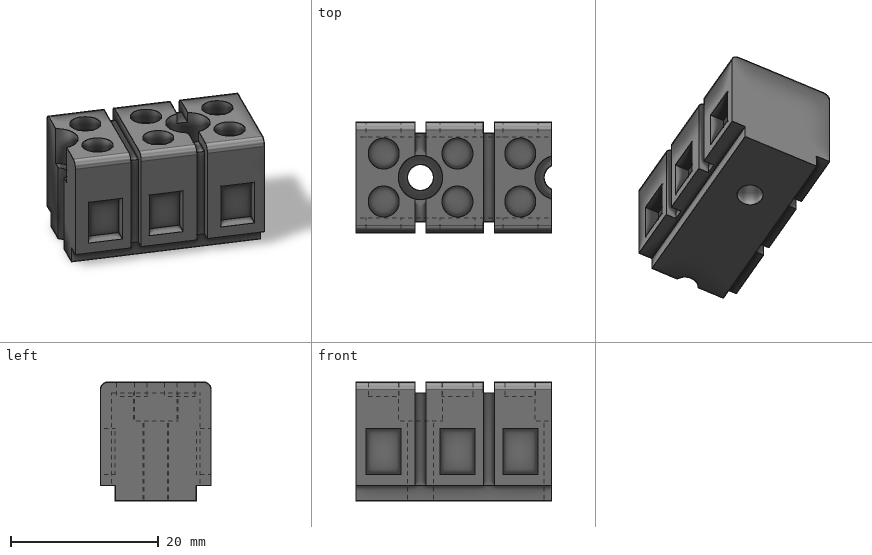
import cadquery as cq

length = 26.5
width = 15.0
height = 16.1
edge_radius = 1.03

foot_width = 11.0
foot_height = 2.1

groove_spans = [(8.0, 9.5), (17.28, 18.74)]
groove_depth = 1.48

well_centers_x = [3.75, 13.75, 22.25]
well_spacing = 6.5
well_diameter = 4.2
well_depth = 2.0

opening_starts_x = [1.38, 11.4, 19.9]
opening_width = 4.75
opening_bottom = 3.6
opening_height = 6.2
opening_depth = 2.0

mount_centers_x = [8.75, 27.25]
mount_diameter = 3.5
counterbore_diameter = 6.0
counterbore_depth = 5.3


def box(x, y, z, size_x, size_y, size_z):
    """Box with its minimum corner at (x, y, z)."""
    return cq.Workplane("XY").box(size_x, size_y, size_z, centered=False).translate((x, y, z))


def make_body():
    upper = box(0, -width / 2, foot_height, length, width, height - foot_height)
    upper = upper.edges("|X and >Z").fillet(edge_radius)
    foot = box(0, -foot_width / 2, 0, length, foot_width, foot_height)
    return upper.union(foot)


def cut_groove(body, start, end):
    """Groove across the top and down both long sides, as far as the foot."""
    core_width = width - 2 * groove_depth
    core_height = height - groove_depth - foot_height
    span = end - start
    ring = box(start, -width / 2, foot_height, span, width, height - foot_height)
    core = box(start, -core_width / 2, foot_height, span, core_width, core_height)
    return body.cut(ring.cut(core))


def cut_from_top(body, points, diameter, depth):
    cutters = cq.Workplane("XY", origin=(0, 0, height)).pushPoints(points).circle(diameter / 2)
    return body.cut(cutters.extrude(-depth))


def cut_openings(body):
    for x in opening_starts_x:
        for y in (-width / 2, width / 2 - opening_depth):
            body = body.cut(box(x, y, opening_bottom, opening_width, opening_depth, opening_height))
    return body


result = make_body()
for groove_start, groove_end in groove_spans:
    result = cut_groove(result, groove_start, groove_end)

well_points = [(x, side * well_spacing / 2) for x in well_centers_x for side in (-1, 1)]
result = cut_from_top(result, well_points, well_diameter, well_depth)
result = cut_openings(result)

mount_points = [(x, 0) for x in mount_centers_x]
result = cut_from_top(result, mount_points, counterbore_diameter, counterbore_depth)
result = cut_from_top(result, mount_points, mount_diameter, height)